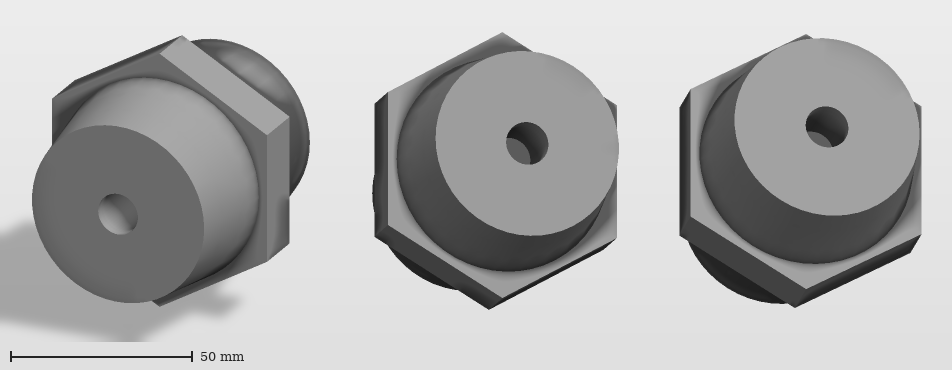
import cadquery as cq

length = 70.0
hex_across_corners = 75.05
hex_width = 15.0
root_diameter = 60.05
end_diameter = 52.1
hole_diameter = 12.0
hole_depth = 20.0

half_length = length / 2
half_hex_width = hex_width / 2
taper_length = half_length - half_hex_width


def hex_collar():
    """Central hexagonal collar with two corners on the Z axis."""
    return (
        cq.Workplane("XZ")
        .polygon(6, hex_across_corners)
        .extrude(half_hex_width, both=True)
        .rotate((0, 0, 0), (0, 1, 0), 90)
    )


def end_plane(side, distance):
    """Plane facing outward along Y; side is -1 or 1."""
    return cq.Plane(origin=(0, side * distance, 0), xDir=(1, 0, 0), normal=(0, side, 0))


def tapered_end(side):
    """Cone frustum narrowing from the collar to the end face."""
    return (
        cq.Workplane(end_plane(side, half_hex_width))
        .circle(root_diameter / 2)
        .workplane(offset=taper_length)
        .circle(end_diameter / 2)
        .loft(ruled=True)
    )


def blind_hole(side):
    """Flat-bottomed axial hole sunk into an end face."""
    return cq.Workplane(end_plane(side, half_length)).circle(hole_diameter / 2).extrude(-hole_depth)


result = hex_collar()
for side in (-1, 1):
    result = result.union(tapered_end(side)).cut(blind_hole(side))